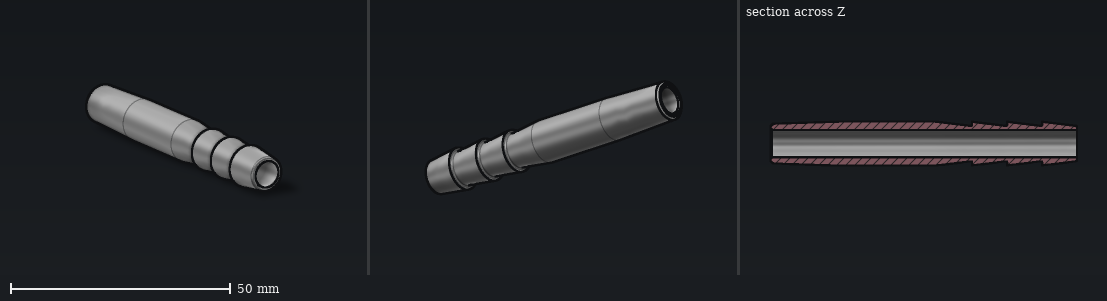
import cadquery as cq

TOTAL_LENGTH = 70.0
BORE_RADIUS = 6.2 / 2
COLLAR_RADIUS = 10.2 / 2
COLLAR_END_X = 37.35

SPIGOT_LENGTH = 17.1
SPIGOT_END_RADIUS = 4.56
SPIGOT_EDGE_CHAMFER = 0.6
BORE_MOUTH_CHAMFER = 0.4

BARB_COUNT = 3
BARB_PITCH = 8.0
BARB_CREST_RADIUS = 5.0
BARB_CREST_LAND = 0.2
BARB_ROOT_RADIUS = 4.05
BARB_ROOT_FILLET = 0.35
TIP_FILLET = 0.4

FIRST_BARB_X = TOTAL_LENGTH - BARB_COUNT * BARB_PITCH

RADIUS_TOLERANCE = 1e-4


def make_body():
    """Solid of revolution: tapered spigot, cylindrical collar, neck and barbs."""
    profile = (
        cq.Workplane("XY")
        .moveTo(0, 0)
        .lineTo(0, SPIGOT_END_RADIUS)
        .lineTo(SPIGOT_LENGTH, COLLAR_RADIUS)
        .lineTo(COLLAR_END_X, COLLAR_RADIUS)
    )
    for index in range(BARB_COUNT):
        crest_x = FIRST_BARB_X + index * BARB_PITCH
        profile = (
            profile.lineTo(crest_x, BARB_ROOT_RADIUS)
            .lineTo(crest_x, BARB_CREST_RADIUS)
            .lineTo(crest_x + BARB_CREST_LAND, BARB_CREST_RADIUS)
        )
    profile = profile.lineTo(TOTAL_LENGTH, BARB_ROOT_RADIUS).lineTo(TOTAL_LENGTH, 0).close()
    return profile.revolve(360, (0, 0, 0), (1, 0, 0))


def soften_edges(body):
    """Chamfer the spigot end, then round the tail tip and the barb roots."""
    body = body.faces("<X").edges().chamfer(SPIGOT_EDGE_CHAMFER)
    body = body.faces(">X").edges().fillet(TIP_FILLET)
    roots = body.edges("%CIRCLE").filter(
        lambda edge: abs(edge.radius() - BARB_ROOT_RADIUS) < RADIUS_TOLERANCE
    )
    return roots.fillet(BARB_ROOT_FILLET)


def cut_bore(body):
    """Through bore along X, chamfered at the spigot end."""
    bore = cq.Workplane("YZ").circle(BORE_RADIUS).extrude(TOTAL_LENGTH)
    mouth = (
        cq.Workplane("YZ")
        .circle(BORE_RADIUS + BORE_MOUTH_CHAMFER)
        .workplane(offset=BORE_MOUTH_CHAMFER)
        .circle(BORE_RADIUS)
        .loft()
    )
    return body.cut(bore).cut(mouth)


result = cut_bore(soften_edges(make_body()))